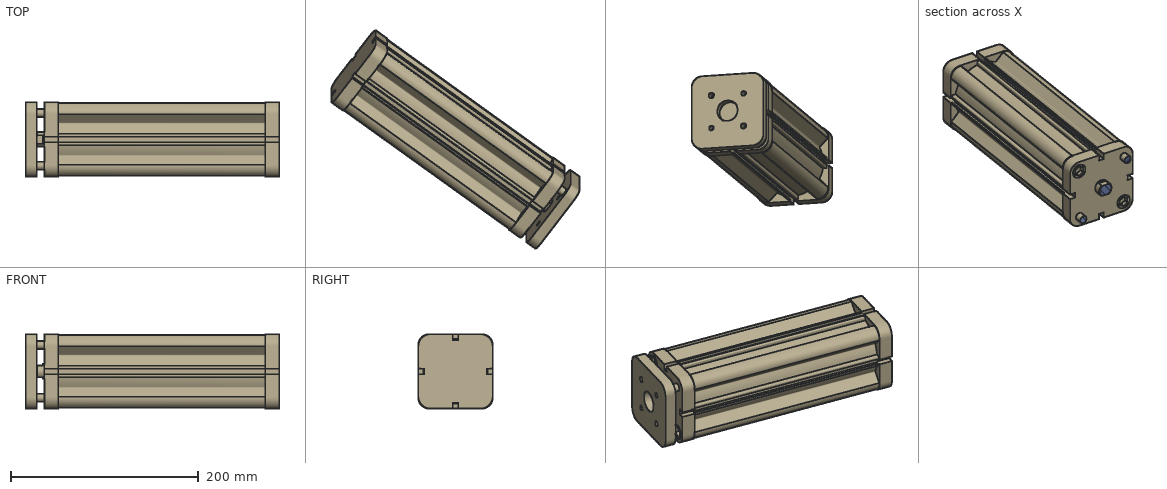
import cadquery as cq
import math

total_length = 270.0
plate_thickness = 12.0
plate_gap = 8.0
cap_thickness = 14.8
front_cap_start = plate_thickness + plate_gap
barrel_start = front_cap_start + cap_thickness
barrel_end = total_length - cap_thickness
barrel_length = barrel_end - barrel_start

section_width = 79.5
half_width = section_width / 2
corner_radius = 12.0

center_recess_diameter = 22.5
center_recess_depth = 9.2
plate_hole_offset = 17.8
pin_hole_diameter = 6.0
screw_hole_diameter = 5.0

corner_offset = 28.0
guide_rod_diameter = 8.6
screw_head_diameter = 15.7
screw_head_recess = 0.3
socket_width = 10.0
socket_depth = 5.5

piston_rod_diameter = 16.0
flat_width = 13.0
flat_length = 6.2
rod_end_chamfer = 0.5

lobe_radius = 10.8
groove_edge = 26.7
groove_foot = 17.3
groove_foot_fillet = 1.0
rail_width = 12.2
rail_top = 37.8
rail_fillet = 1.4

slot_width = 5.7
cap_slot_floor = 33.2
barrel_slot_floor = 34.5

guide_rod_centers = [(-corner_offset, corner_offset), (corner_offset, -corner_offset)]
screw_centers = [(corner_offset, corner_offset), (-corner_offset, -corner_offset)]


def plane_at(x):
    """Workplane facing +X, with Y and Z as its own axes."""
    return cq.Workplane("YZ", origin=(x, 0, 0))


def cylinders(start, length, diameter, centers=((0, 0),)):
    """Cylinders parallel to X at the given (Y, Z) centres."""
    return plane_at(start).pushPoints(centers).circle(diameter / 2).extrude(length)


def rounded_block(start, length, width, radius):
    """Square block along X with its four long edges rounded."""
    return plane_at(start).rect(width, width).extrude(length).edges("|X").fillet(radius)


def on_four_sides(shape):
    """Copies of a shape turned about X, one for each long side."""
    return [shape.rotate((0, 0, 0), (1, 0, 0), 90 * side) for side in range(4)]


def make_yoke_plate():
    plate = rounded_block(0, plate_thickness, section_width, corner_radius)
    near, far = -plate_hole_offset, plate_hole_offset
    pin_holes = cylinders(0, plate_thickness, pin_hole_diameter, [(far, far), (near, near)])
    screw_holes = cylinders(0, plate_thickness, screw_hole_diameter, [(far, near), (near, far)])
    center_recess = cylinders(0, center_recess_depth, center_recess_diameter)
    return plate.cut(pin_holes).cut(screw_holes).cut(center_recess)


def make_piston_rod():
    rod = cylinders(plate_thickness, plate_gap, piston_rod_diameter).faces("<X").chamfer(rod_end_chamfer)
    flatted_end = plane_at(plate_thickness).rect(piston_rod_diameter, flat_width).extrude(flat_length)
    round_end = plane_at(plate_thickness + flat_length).rect(piston_rod_diameter, piston_rod_diameter)
    return rod.intersect(flatted_end.union(round_end.extrude(plate_gap - flat_length)))


def make_guide_rod(center):
    return cylinders(plate_thickness, plate_gap, guide_rod_diameter, [center])


def make_tube_with_lobes():
    """Round tube with four corner lobes, whose walls slope at 45 degrees down to the tube."""
    edge_drop = corner_offset - groove_edge
    edge_height = corner_offset + math.sqrt(lobe_radius**2 - edge_drop**2)
    foot_height = edge_height - (groove_edge - groove_foot)
    tube_radius = math.hypot(groove_foot, foot_height)
    wall_end = edge_height - groove_edge
    lobe_tip = corner_offset + lobe_radius * math.sqrt(0.5)

    barrel = cylinders(barrel_start, barrel_length, 2 * tube_radius)
    lobe = (
        plane_at(barrel_start)
        .moveTo(groove_edge, edge_height)
        .threePointArc((lobe_tip, lobe_tip), (edge_height, groove_edge))
        .lineTo(wall_end, 0)
        .lineTo(0, wall_end)
        .close()
        .extrude(barrel_length)
    )
    for corner_lobe in on_four_sides(lobe):
        barrel = barrel.union(corner_lobe)

    def at_groove_foot(edge):
        middle = edge.Center()
        return math.isclose(min(abs(middle.y), abs(middle.z)), groove_foot, abs_tol=0.0003)

    return barrel.edges("|X").filter(at_groove_foot).fillet(groove_foot_fillet)


def make_rail():
    """Rail of the +Z side, reaching down into the tube below the slot floor."""
    rail_height = rail_top - cap_slot_floor
    return (
        plane_at(barrel_start)
        .center(0, cap_slot_floor + rail_height / 2)
        .rect(rail_width, rail_height)
        .extrude(barrel_length)
        .edges("|X and >Z")
        .fillet(rail_fillet)
    )


def cut_side_slots(body, start, length, floor):
    """Slots along X that are open at both ends, one on each side."""
    slot_depth = half_width - floor
    slot = plane_at(start).center(0, floor + slot_depth / 2).rect(slot_width, slot_depth).extrude(length)
    for side_slot in on_four_sides(slot):
        body = body.cut(side_slot)
    return body


def make_barrel():
    barrel = make_tube_with_lobes()
    for rail in on_four_sides(make_rail()):
        barrel = barrel.union(rail)
    return cut_side_slots(barrel, barrel_start, barrel_length, barrel_slot_floor)


def make_end_cap(start):
    cap = rounded_block(start, cap_thickness, section_width, corner_radius)
    return cut_side_slots(cap, start, cap_thickness, cap_slot_floor)


def cut_screw_heads(cap):
    """Shallow round recesses with hexagon sockets, two flats of each facing +Y and -Y."""
    cap = cap.cut(cylinders(front_cap_start, screw_head_recess, screw_head_diameter, screw_centers))
    socket_diameter = socket_width / math.cos(math.radians(30))
    for y, z in screw_centers:
        socket = plane_at(front_cap_start).polygon(6, socket_diameter).extrude(socket_depth)
        cap = cap.cut(socket.rotate((0, 0, 0), (1, 0, 0), 90).translate((0, y, z)))
    return cap


def make_housing():
    front_cap = cut_screw_heads(make_end_cap(front_cap_start))
    rear_cap = make_end_cap(barrel_end)
    return make_barrel().union(front_cap).union(rear_cap)


yoke_plate = make_yoke_plate()
piston_rod = make_piston_rod()
guide_rods = [make_guide_rod(center) for center in guide_rod_centers]
housing = make_housing()

result = cq.Compound.makeCompound(
    [yoke_plate.val(), piston_rod.val(), *[rod.val() for rod in guide_rods], housing.val()]
)